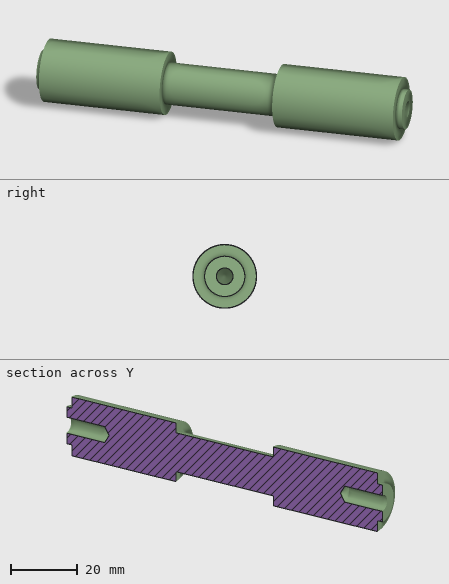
import cadquery as cq
import math

overall_length = 113.6
journal_length = 1.8
journal_diameter = 12.0
roller_length = 37.5
roller_diameter = 19.1
neck_diameter = 12.7
hole_diameter = 5.0
hole_depth = 13.6
drill_point_angle = 118.0

neck_length = overall_length - 2 * (journal_length + roller_length)
half_length = overall_length / 2


def cylinder_along_x(start_x, length, diameter):
    return cq.Workplane("YZ", origin=(start_x, 0, 0)).circle(diameter / 2).extrude(length)


def end_hole(outward):
    """Blind drilled hole, with a conical bottom, entering the end on the given side."""
    radius = hole_diameter / 2
    point_depth = radius / math.tan(math.radians(drill_point_angle / 2))
    mouth_x = outward * half_length
    shoulder_x = outward * (half_length - hole_depth)
    tip_x = outward * (half_length - hole_depth - point_depth)
    profile = [(mouth_x, 0), (mouth_x, radius), (shoulder_x, radius), (tip_x, 0)]
    return cq.Workplane("XY").polyline(profile).close().revolve(360, (0, 0, 0), (1, 0, 0))


result = cylinder_along_x(-half_length, overall_length, journal_diameter)
result = result.union(cylinder_along_x(-neck_length / 2, neck_length, neck_diameter))
for roller_start in (-neck_length / 2 - roller_length, neck_length / 2):
    result = result.union(cylinder_along_x(roller_start, roller_length, roller_diameter))

for outward in (-1, 1):
    result = result.cut(end_hole(outward))